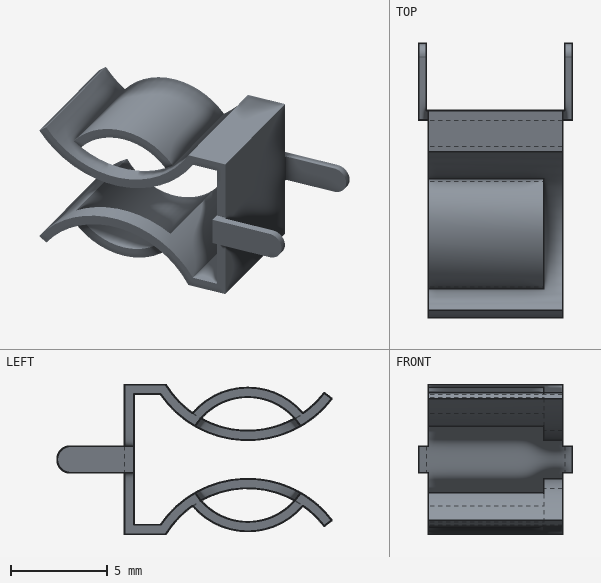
import cadquery as cq
import math

sheet = 0.5
clip_width = 7.0
clip_height = 7.8
clip_reach = 10.8

fuse_y = -6.42
arm_clearance = 1.0
arm_inner_radius = 5.0
arm_outer_radius = arm_inner_radius + sheet

cradle_radius = 3.25
end_stop_width = 1.0
cradle_width = clip_width - end_stop_width

overall_width = 8.0
tab_thickness = 0.4
tab_width = 1.4
tab_length = 3.5

half_width = clip_width / 2
half_height = clip_height / 2
bow_z = arm_clearance + arm_outer_radius


def bow_point(radius, angle):
    """Point on an arm bow; the angle is measured from -Z towards -Y."""
    return (fuse_y - radius * math.sin(angle), bow_z - radius * math.cos(angle))


def disc(radius, center_z, start_x, width):
    """Disc in the YZ plane, level with the fuse axis in Y."""
    return (
        cq.Workplane("YZ", origin=(start_x, fuse_y, center_z))
        .circle(radius)
        .extrude(width)
    )


def upper_half():
    """Upper half of the base plate, with its flange and bowed arm."""
    inner_z = half_height - sheet
    tip_angle = math.asin((clip_reach + fuse_y) / arm_outer_radius)
    top_angle = -math.acos((bow_z - half_height) / arm_inner_radius)
    flange_angle = -math.acos((bow_z - inner_z) / arm_outer_radius)
    return (
        cq.Workplane("YZ", origin=(-half_width, 0, 0))
        .moveTo(0, 0)
        .lineTo(0, half_height)
        .lineTo(*bow_point(arm_inner_radius, top_angle))
        .threePointArc(bow_point(arm_inner_radius, 0), bow_point(arm_inner_radius, tip_angle))
        .lineTo(*bow_point(arm_outer_radius, tip_angle))
        .threePointArc(bow_point(arm_outer_radius, 0), bow_point(arm_outer_radius, flange_angle))
        .lineTo(-sheet, inner_z)
        .lineTo(-sheet, 0)
        .close()
        .extrude(clip_width)
    )


def cradle_opening():
    """Space taken by the fuse body."""
    return disc(cradle_radius, 0, -half_width, cradle_width)


def upper_cradle():
    """Curved wall around the fuse, ending where it meets the arm."""
    ring = disc(cradle_radius + sheet, 0, -half_width, cradle_width).cut(cradle_opening())
    return ring.intersect(disc(arm_outer_radius, bow_z, -half_width, cradle_width))


def solder_tab():
    """Round-ended tab on the +X side, joined to the edge of the base plate."""
    outer_x = overall_width / 2
    inner_x = outer_x - tab_thickness
    tip_radius = tab_width / 2
    tip_center_y = tab_length - tip_radius
    blade = (
        cq.Workplane("YZ", origin=(inner_x, 0, 0))
        .moveTo(-sheet, -tip_radius)
        .lineTo(tip_center_y, -tip_radius)
        .threePointArc((tab_length, 0), (tip_center_y, tip_radius))
        .lineTo(-sheet, tip_radius)
        .close()
        .extrude(tab_thickness)
    )
    bridge = (
        cq.Workplane("XY")
        .box(outer_x - half_width, sheet, tab_width, centered=(False, False, True))
        .translate((half_width, -sheet, 0))
    )
    return blade.union(bridge)


upper = upper_half().cut(cradle_opening()).union(upper_cradle())
tab = solder_tab()
result = (
    upper.union(upper.mirror("XY"))
    .union(tab)
    .union(tab.mirror("YZ"))
    .clean()
)